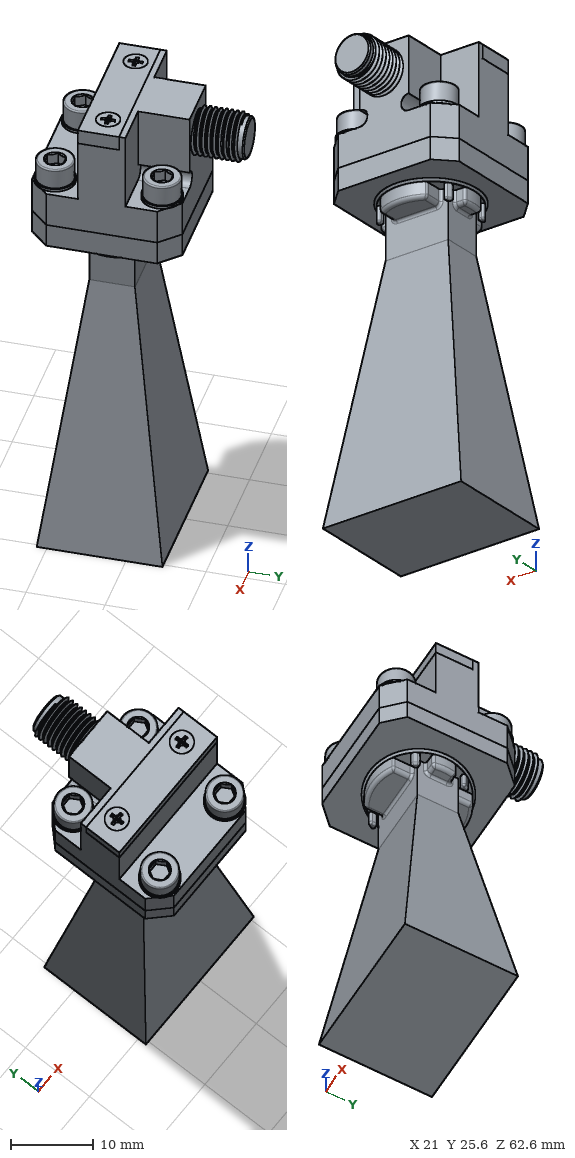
import cadquery as cq


FLANGE_SIDE = 19.0
FLANGE_CORNER = 2.5
HORN_FLANGE_THICKNESS = 3.1
ADAPTER_FLANGE_THICKNESS = 4.65

TOTAL_HEIGHT = 62.6
ADAPTER_HEIGHT = 14.9
NECK_X = 9.5
NECK_Y = 5.75
NECK_END_Z = -10.65
MOUTH_X = 21.0
MOUTH_Y = 15.9
MOUTH_Z = ADAPTER_HEIGHT - TOTAL_HEIGHT

COLLAR_RADIUS = 6.65
COLLAR_HEIGHT = 2.55
COLLAR_BASE_THICKNESS = 0.4
COLLAR_FLARE = 0.3
LONG_LUG_WIDTH = 7.15
SHORT_LUG_WIDTH = 3.4
LUG_EDGE_FILLET = 0.55
LUG_CORNER_FILLET = 0.4
LUG_ROOT_FILLET = 0.4
POST_CLEARANCE = 0.05
POST_FILLET = 0.3

WALL_FRONT_Y = -3.0
WALL_BACK_Y = 3.0
BLOCK_WIDTH = 7.45
BLOCK_GROOVE_DIAMETER = 2.3
COVER_THICKNESS = 1.95
COVER_BACK_Y = 2.2

CONNECTOR_Z = 10.8
CONNECTOR_LENGTH = 6.6
CONNECTOR_CORE_RADIUS = 2.7
CONNECTOR_TIP_LENGTH = 0.75
CONNECTOR_TIP_CHAMFER = 0.2
THREAD_RADIUS = 3.1
THREAD_PITCH = 0.7
THREAD_ROOT_WIDTH = 0.6
THREAD_OVERLAP = 0.1

SCREW_X = 6.3
SCREW_Y = 6.75
WASHER_RADIUS = 2.55
WASHER_THICKNESS = 0.4
HEAD_RADIUS = 2.4
SCREW_HEIGHT = 3.1
HEAD_FILLET = 0.2
SOCKET_ACROSS_CORNERS = 2.7
SOCKET_DEPTH = 1.55
SOCKET_RIM_RADIUS = 1.4
SOCKET_RIM_DEPTH = 0.2
SOCKET_RIM_TAPER = 45

COVER_SCREW_Y = -0.05
COVER_SCREW_RADIUS = 1.5
CROSS_LENGTH = 1.75
CROSS_WIDTH = 0.4
CROSS_DEPTH = 0.6
CROSS_CENTER_RADIUS = 0.45
CROSS_CENTER_DEPTH = 1.0
CROSS_CENTER_TAPER = 15

HALF_FLANGE = FLANGE_SIDE / 2
COLLAR_BASE_Z = -HORN_FLANGE_THICKNESS - COLLAR_BASE_THICKNESS


def box_between(x_range, y_range, z_range):
    """Axis-aligned box given by its limits along X, Y and Z."""
    (x0, x1), (y0, y1), (z0, z1) = x_range, y_range, z_range
    return cq.Workplane("XY").box(x1 - x0, y1 - y0, z1 - z0, centered=False).translate((x0, y0, z0))


def flange_plate(bottom_z, thickness):
    """Square plate with chamfered corners."""
    plate = cq.Workplane("XY").workplane(offset=bottom_z).rect(FLANGE_SIDE, FLANGE_SIDE).extrude(thickness)
    return plate.edges("|Z").chamfer(FLANGE_CORNER)


def collar_sector(x_start, y_start, y_end):
    """Part of the round collar beyond X = x_start, between two Y limits."""
    height = COLLAR_HEIGHT - COLLAR_BASE_THICKNESS
    disc = cq.Workplane("XY").workplane(offset=COLLAR_BASE_Z).circle(COLLAR_RADIUS).extrude(-height)
    z_range = (COLLAR_BASE_Z - height, COLLAR_BASE_Z)
    window = box_between((x_start, 2 * COLLAR_RADIUS), (y_start, y_end), z_range)
    return disc.intersect(window)


def make_lug(width, turn):
    """Arc-faced lug reaching out from the axis along +X, turned about Z into place."""
    lug = collar_sector(0, -width / 2, width / 2)
    lug = lug.edges("|Z and (not <X)").fillet(LUG_CORNER_FILLET)
    lug = lug.faces("<Z").edges("not <X").fillet(LUG_EDGE_FILLET)
    return lug.rotate((0, 0, 0), (0, 0, 1), turn)


def make_corner_posts():
    """Four small arc-faced posts standing off the neck corners."""
    post = collar_sector(NECK_X / 2 + POST_CLEARANCE, NECK_Y / 2 + POST_CLEARANCE, COLLAR_RADIUS)
    post = post.edges("|Z").fillet(POST_FILLET)
    post = post.faces("<Z").edges().fillet(POST_FILLET)
    mirrored = post.mirror("YZ")
    return [post, mirrored, post.mirror("XZ"), mirrored.mirror("XZ")]


def fillet_lug_roots(horn):
    """Round the inside corners where the lugs meet the neck."""
    margin = 0.05
    lug_bottom = -HORN_FLANGE_THICKNESS - COLLAR_HEIGHT
    neck_zone = cq.selectors.BoxSelector(
        (-NECK_X / 2 - margin, -NECK_Y / 2 - margin, lug_bottom - margin),
        (NECK_X / 2 + margin, NECK_Y / 2 + margin, COLLAR_BASE_Z + margin),
        boundingbox=True,
    )
    base_plane = cq.selectors.BoxSelector(
        (-COLLAR_RADIUS, -COLLAR_RADIUS, COLLAR_BASE_Z - margin),
        (COLLAR_RADIUS, COLLAR_RADIUS, COLLAR_BASE_Z + margin),
        boundingbox=True,
    )
    return horn.edges(neck_zone - base_plane).fillet(LUG_ROOT_FILLET)


def make_horn():
    """Flange, slotted collar, straight neck and pyramidal flare in one solid."""
    flange_bottom = cq.Workplane("XY").workplane(offset=-HORN_FLANGE_THICKNESS)
    horn = flange_plate(-HORN_FLANGE_THICKNESS, HORN_FLANGE_THICKNESS)
    horn = horn.union(flange_bottom.circle(COLLAR_RADIUS).extrude(-COLLAR_BASE_THICKNESS))
    skirt = (
        flange_bottom.circle(COLLAR_RADIUS + COLLAR_FLARE)
        .workplane(offset=-COLLAR_FLARE).circle(COLLAR_RADIUS)
        .loft(ruled=True)
    )
    horn = horn.union(skirt)

    horn = horn.union(flange_bottom.rect(NECK_X, NECK_Y).extrude(NECK_END_Z + HORN_FLANGE_THICKNESS))
    for half_turn in (0, 180):
        horn = horn.union(make_lug(SHORT_LUG_WIDTH, half_turn))
        horn = horn.union(make_lug(LONG_LUG_WIDTH, half_turn + 90))
    horn = fillet_lug_roots(horn)
    for post in make_corner_posts():
        horn = horn.union(post)

    pyramid = (
        cq.Workplane("XY").workplane(offset=NECK_END_Z).rect(NECK_X, NECK_Y)
        .workplane(offset=MOUTH_Z - NECK_END_Z).rect(MOUTH_X, MOUTH_Y)
        .loft(ruled=True)
    )
    return horn.union(pyramid)


def make_connector():
    """Threaded coaxial barrel along +Y, starting on the back face of the block."""
    core = cq.Workplane("XY").circle(CONNECTOR_CORE_RADIUS).extrude(CONNECTOR_LENGTH)
    core = core.faces(">Z").chamfer(CONNECTOR_TIP_CHAMFER)
    thread_length = CONNECTOR_LENGTH - CONNECTOR_TIP_LENGTH

    helix = cq.Wire.makeHelix(THREAD_PITCH, thread_length + 2 * THREAD_PITCH, CONNECTOR_CORE_RADIUS)
    inner_radius = CONNECTOR_CORE_RADIUS - THREAD_OVERLAP
    ridge = (
        cq.Workplane("XZ")
        .moveTo(inner_radius, -THREAD_ROOT_WIDTH / 2)
        .lineTo(THREAD_RADIUS, 0)
        .lineTo(inner_radius, THREAD_ROOT_WIDTH / 2)
        .close()
        .sweep(cq.Workplane(helix), isFrenet=True)
        .translate((0, 0, -THREAD_PITCH))
    )
    trim = cq.Workplane("XY").circle(2 * THREAD_RADIUS).extrude(thread_length)
    barrel = core.union(ridge.intersect(trim))
    return barrel.rotate((0, 0, 0), (1, 0, 0), -90).translate((0, HALF_FLANGE, CONNECTOR_Z))


def cover_screw_places():
    return [(side * SCREW_X, COVER_SCREW_Y) for side in (-1, 1)]


def flange_screw_places():
    return [(sx * SCREW_X, sy * SCREW_Y) for sx in (-1, 1) for sy in (-1, 1)]


def make_adapter():
    """Flange, upright wall, connector block and connector in one solid."""
    flange_top = ADAPTER_FLANGE_THICKNESS
    upright = (flange_top, ADAPTER_HEIGHT)
    full_width = (-HALF_FLANGE, HALF_FLANGE)
    wall = box_between(full_width, (WALL_FRONT_Y, WALL_BACK_Y), upright)
    block = box_between((-BLOCK_WIDTH / 2, BLOCK_WIDTH / 2), (WALL_BACK_Y, HALF_FLANGE), upright)

    groove_radius = BLOCK_GROOVE_DIAMETER / 2
    for side in (-1, 1):
        groove = (
            cq.Workplane("XZ", origin=(0, WALL_BACK_Y, 0))
            .center(side * BLOCK_WIDTH / 2, flange_top + groove_radius)
            .circle(groove_radius)
            .extrude(WALL_BACK_Y - HALF_FLANGE)
        )
        block = block.cut(groove)

    cover_seat = box_between(
        full_width, (WALL_FRONT_Y, COVER_BACK_Y), (ADAPTER_HEIGHT - COVER_THICKNESS, ADAPTER_HEIGHT)
    )
    adapter = flange_plate(0, flange_top).union(wall).union(block).cut(cover_seat)
    return adapter.union(make_connector())


def make_cover():
    """Strip closing the top of the wall, with a through hole for each cover screw."""
    cover = box_between(
        (-HALF_FLANGE, HALF_FLANGE),
        (WALL_FRONT_Y, COVER_BACK_Y),
        (ADAPTER_HEIGHT - COVER_THICKNESS, ADAPTER_HEIGHT),
    )
    holes = (
        cq.Workplane("XY").workplane(offset=ADAPTER_HEIGHT)
        .pushPoints(cover_screw_places())
        .circle(COVER_SCREW_RADIUS)
        .extrude(-COVER_THICKNESS)
    )
    return cover.cut(holes)


def make_flange_screw(x, y):
    """Socket-head screw standing on the adapter flange."""
    washer = cq.Workplane("XY").circle(WASHER_RADIUS).extrude(WASHER_THICKNESS)
    head = cq.Workplane("XY").circle(HEAD_RADIUS).extrude(SCREW_HEIGHT)
    head = head.faces(">Z").edges().fillet(HEAD_FILLET)
    top = cq.Workplane("XY").workplane(offset=SCREW_HEIGHT)
    socket = top.polygon(6, SOCKET_ACROSS_CORNERS).extrude(-SOCKET_DEPTH)
    rim = top.circle(SOCKET_RIM_RADIUS).extrude(-SOCKET_RIM_DEPTH, taper=SOCKET_RIM_TAPER)
    return washer.union(head).cut(socket).cut(rim).translate((x, y, ADAPTER_FLANGE_THICKNESS))


def make_cover_screw(x, y):
    """Flush round screw with a cross recess, filling its hole in the cover."""
    screw = cq.Workplane("XY").circle(COVER_SCREW_RADIUS).extrude(-COVER_THICKNESS)
    for length_x, length_y in ((CROSS_LENGTH, CROSS_WIDTH), (CROSS_WIDTH, CROSS_LENGTH)):
        screw = screw.cut(cq.Workplane("XY").rect(length_x, length_y).extrude(-CROSS_DEPTH))
    center = cq.Workplane("XY").circle(CROSS_CENTER_RADIUS)
    screw = screw.cut(center.extrude(-CROSS_CENTER_DEPTH, taper=CROSS_CENTER_TAPER))
    return screw.translate((x, y, ADAPTER_HEIGHT))


horn = make_horn()
adapter = make_adapter()
cover = make_cover()
flange_screws = [make_flange_screw(x, y) for x, y in flange_screw_places()]
cover_screws = [make_cover_screw(x, y) for x, y in cover_screw_places()]

bodies = [horn, adapter, cover, *flange_screws, *cover_screws]
result = cq.Compound.makeCompound([body.solids().val() for body in bodies])